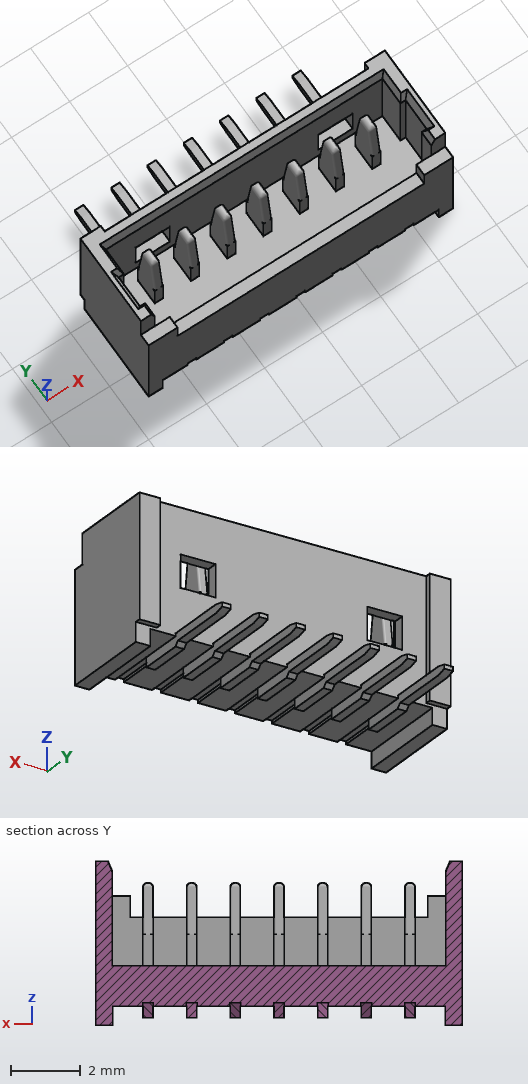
import cadquery as cq

length = 10.5
height = 4.7
main_depth = 3.3

post_width = 0.7
post_depth = 0.2
post_bottom = 0.64

foot_width = 0.49
underside = 0.55

front_wall = 0.4
shoulder_height = 3.71
notch_inset = 1.0
notch_bottom = 3.1

end_wall = 0.48
back_wall = 0.39
floor_height = 1.71
rim_height = 0.29
rim_inset = 0.13

slot_wall = 0.3
slot_front = 0.9
slot_back = 1.98
slot_bevel = 0.16

window_offset = 3.15
window_width = 1.18
window_bottom = 2.13
window_top = 3.2

pin_count = 7
pin_pitch = 1.25
pin_width = 0.29
blade_front = 1.7
blade_back = 2.57
blade_straight_top = 2.6
blade_tip = 4.08
blade_tip_inset = 0.2
tip_radius = 0.14
blade_edge_radius = 0.06
tail_top = 0.64
tail_thickness = 0.28
tail_end = 5.8
tail_point_length = 0.33
tail_point_inset = 0.07
elbow_bottom = 0.22
elbow_back = 3.27

center_x = length / 2
rim_bottom = height - rim_height
cavity_back = main_depth - back_wall


def block(x_min, x_max, y_min, y_max, z_min, z_max):
    """Box given by its limits along each axis."""
    size = (x_max - x_min, y_max - y_min, z_max - z_min)
    return cq.Workplane("XY").box(*size, centered=False).translate((x_min, y_min, z_min))


def bevelled_pocket(wall, front, back, bevel, front_bevel):
    """Pocket above the floor between two equal end walls, widening at the rim."""
    straight = block(wall, length - wall, front, back, floor_height, rim_bottom)
    middle_y = (front + back) / 2
    top_front = front - front_bevel
    top_back = back + bevel
    width = length - 2 * wall
    rim = (
        cq.Workplane("XY", origin=(center_x, middle_y, rim_bottom))
        .rect(width, back - front)
        .workplane(offset=rim_height)
        .center(0, (top_front + top_back) / 2 - middle_y)
        .rect(width + 2 * bevel, top_back - top_front)
        .loft(ruled=True)
    )
    return straight.union(rim)


def make_housing(pin_centers):
    body = block(0, length, 0, main_depth, 0, height)

    back_face = main_depth + post_depth
    for left in (0, length - post_width):
        body = body.union(block(left, left + post_width, main_depth, back_face, post_bottom, height))

    body = body.cut(block(foot_width, length - foot_width, 0, main_depth, 0, underside))

    body = body.cut(block(0, length, 0, front_wall, shoulder_height, height))
    notch_right = length - notch_inset
    body = body.cut(block(notch_inset, notch_right, 0, front_wall, notch_bottom, shoulder_height))

    body = body.cut(bevelled_pocket(end_wall, front_wall, cavity_back, rim_inset, 0))
    body = body.cut(bevelled_pocket(slot_wall, slot_front, slot_back, slot_bevel, slot_bevel))

    for x in (center_x - window_offset, center_x + window_offset):
        left = x - window_width / 2
        right = x + window_width / 2
        body = body.cut(block(left, right, cavity_back, main_depth, window_bottom, window_top))

    for x in pin_centers:
        left = x - pin_width / 2
        right = x + pin_width / 2
        body = body.cut(block(left, right, 0, main_depth, underside, tail_top))
        body = body.cut(block(left, right, blade_front, blade_back, tail_top, floor_height))
    return body


def make_blade_top():
    """Tapered upper blade with rounded corners and a rounded tip."""
    taper_profile = [
        (blade_front, blade_straight_top),
        (blade_back, blade_straight_top),
        (blade_back - blade_tip_inset, blade_tip),
        (blade_front + blade_tip_inset, blade_tip),
    ]
    blade = cq.Workplane("YZ").polyline(taper_profile).close().extrude(pin_width / 2, both=True)
    blade = blade.faces(">Z").edges().fillet(tip_radius)
    slanted_edges = "%LINE and (not (|X or |Y))"
    return blade.edges(slanted_edges).fillet(blade_edge_radius)


def make_pin(x):
    """Upright blade, elbow below the floor, and pointed tail running backwards."""
    tail_bottom = tail_top - tail_thickness
    point_start = tail_end - tail_point_length
    elbow_rise = tail_bottom - elbow_bottom
    side_profile = [
        (blade_front, elbow_bottom),
        (elbow_back, elbow_bottom),
        (elbow_back + elbow_rise, tail_bottom),
        (point_start, tail_bottom),
        (tail_end, tail_bottom + tail_point_inset),
        (tail_end, tail_top - tail_point_inset),
        (point_start, tail_top),
        (blade_back, tail_top),
        (blade_back, blade_straight_top),
        (blade_front, blade_straight_top),
    ]
    lower = cq.Workplane("YZ").polyline(side_profile).close().extrude(pin_width / 2, both=True)
    return lower.union(make_blade_top()).translate((x, 0, 0))


first_pin_x = center_x - pin_pitch * (pin_count - 1) / 2
pin_centers = [first_pin_x + i * pin_pitch for i in range(pin_count)]

housing = make_housing(pin_centers)
pins = [make_pin(x) for x in pin_centers]

result = cq.Compound.makeCompound([housing.solids().val(), *[pin.solids().val() for pin in pins]])